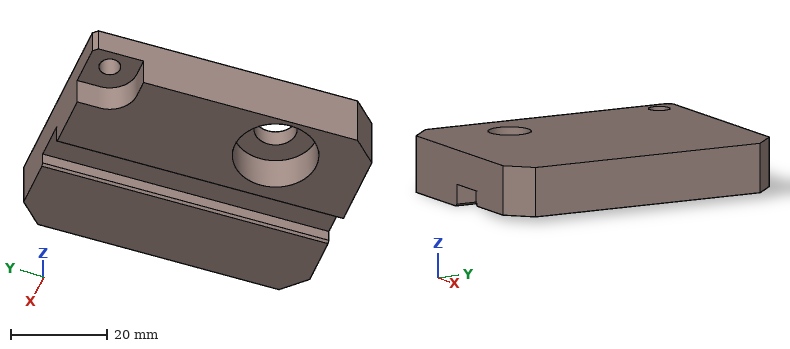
import cadquery as cq

length_x = 47.0
length_y = 63.5
height = 12.0
corner_chamfer = 5.0
small_corner_chamfer = 1.0

underside_step = 1.5
channel_center_x = 26.5
channel_width = 8.2
channel_top = 4.7
channel_edge_chamfer = 0.5

lug_thickness = 5.5
lug_hole_diameter = 4.5
lug_hole_x = 4.0
lug_hole_back_margin = 5.0
lug_relief_radius = 6.0

bore_x = 10.0
bore_y = 19.5
bore_diameter = 9.0
bore_depth = 4.0
counterbore_diameter = 18.0

lug_hole_y = length_y - lug_hole_back_margin
channel_left = channel_center_x - channel_width / 2
channel_right = channel_center_x + channel_width / 2
lug_underside = height - lug_thickness


def make_plate():
    """Front profile swept along Y, cut to the plan outline with its chamfered corners."""
    swept_profile = (
        cq.Workplane("XZ")
        .moveTo(0, 0)
        .lineTo(channel_left - channel_edge_chamfer, 0)
        .lineTo(channel_left, channel_edge_chamfer)
        .lineTo(channel_left, channel_top)
        .lineTo(channel_right, channel_top)
        .lineTo(channel_right, underside_step + channel_edge_chamfer)
        .lineTo(channel_right + channel_edge_chamfer, underside_step)
        .lineTo(length_x, underside_step)
        .lineTo(length_x, height)
        .lineTo(0, height)
        .close()
        .extrude(-length_y)
    )
    outline = (
        cq.Workplane("XY")
        .moveTo(corner_chamfer, 0)
        .lineTo(length_x - corner_chamfer, 0)
        .lineTo(length_x, corner_chamfer)
        .lineTo(length_x, length_y - corner_chamfer)
        .lineTo(length_x - corner_chamfer, length_y)
        .lineTo(small_corner_chamfer, length_y)
        .lineTo(0, length_y - small_corner_chamfer)
        .lineTo(0, corner_chamfer)
        .close()
        .extrude(height)
    )
    return swept_profile.intersect(outline)


def make_lug_relief():
    """Space under the lug, rounded about the lug hole."""
    relief_right = lug_hole_x + lug_relief_radius
    relief_front = lug_hole_y - lug_relief_radius
    return (
        cq.Workplane("XY")
        .moveTo(0, relief_front)
        .lineTo(lug_hole_x, relief_front)
        .radiusArc((relief_right, lug_hole_y), -lug_relief_radius)
        .lineTo(relief_right, length_y)
        .lineTo(0, length_y)
        .close()
        .extrude(lug_underside)
    )


def make_cylinder(x, y, diameter, top):
    """Upright cylinder from the underside level up to the given height."""
    return cq.Workplane("XY").center(x, y).circle(diameter / 2).extrude(top)


result = (
    make_plate()
    .cut(make_lug_relief())
    .cut(make_cylinder(lug_hole_x, lug_hole_y, lug_hole_diameter, height))
    .cut(make_cylinder(bore_x, bore_y, bore_diameter, height))
    .cut(make_cylinder(bore_x, bore_y, counterbore_diameter, height - bore_depth))
)